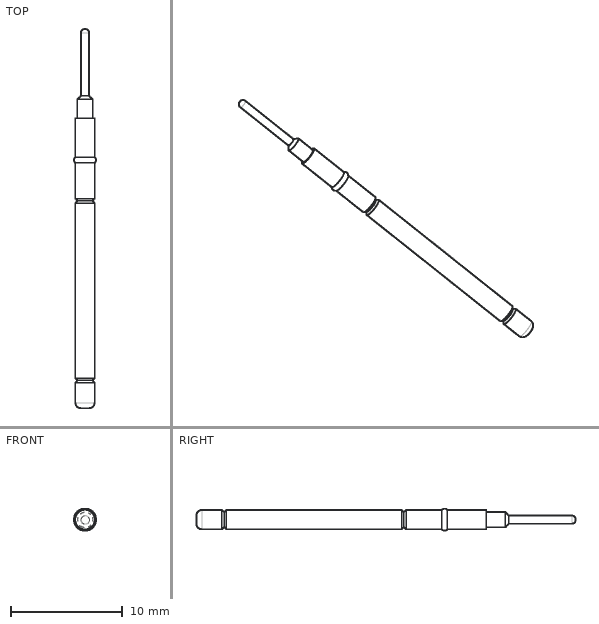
import cadquery as cq


total_length = 34.0
plunger_length = 6.0
cone_length = 0.3
shoulder_distance = 8.0
ring_distance = 11.5
front_groove_distance = 15.4
rear_groove_distance = 31.5

barrel_diameter = 1.75
neck_diameter = 1.4
plunger_diameter = 0.75
ring_diameter = 2.0

tail_radius = 0.5
tip_radius = 0.33
ring_width = 0.5
groove_width = 0.4
groove_depth = 0.2

barrel_radius = barrel_diameter / 2
neck_radius = neck_diameter / 2
plunger_radius = plunger_diameter / 2
ring_bulge = (ring_diameter - barrel_diameter) / 2

cone_start = total_length - plunger_length
neck_start = cone_start - cone_length
shoulder = total_length - shoulder_distance
ring_front = total_length - ring_distance


def revolve_about_y(profile):
    """Turn a closed half profile in the YZ plane a full revolution about Y."""
    return profile.close().revolve(360, (0, 0, 0), (0, 1, 0))


def make_barrel():
    """Plain barrel with a rounded tail."""
    profile = (
        cq.Workplane("ZY")
        .lineTo(barrel_radius - tail_radius, 0)
        .radiusArc((barrel_radius, tail_radius), -tail_radius)
        .lineTo(barrel_radius, shoulder)
        .lineTo(0, shoulder)
    )
    return revolve_about_y(profile)


def make_neck_and_plunger():
    """Stepped front end: neck, cone, plunger and rounded tip."""
    profile = (
        cq.Workplane("ZY")
        .moveTo(0, shoulder)
        .lineTo(neck_radius, shoulder)
        .lineTo(neck_radius, neck_start)
        .lineTo(plunger_radius, cone_start)
        .lineTo(plunger_radius, total_length - tip_radius)
        .radiusArc((plunger_radius - tip_radius, total_length), -tip_radius)
        .lineTo(0, total_length)
    )
    return revolve_about_y(profile)


def make_stop_ring():
    """Bulged ring with an arc-shaped rim around the barrel."""
    ring_rear = ring_front - ring_width
    profile = (
        cq.Workplane("ZY")
        .moveTo(0, ring_rear)
        .lineTo(barrel_radius, ring_rear)
        .threePointArc(
            (barrel_radius + ring_bulge, ring_front - ring_width / 2),
            (barrel_radius, ring_front),
        )
        .lineTo(0, ring_front)
    )
    return revolve_about_y(profile)


def make_groove(distance):
    """V-shaped ring cutter centred at a distance behind the plunger tip."""
    center = total_length - distance
    profile = (
        cq.Workplane("ZY")
        .moveTo(barrel_radius, center - groove_width / 2)
        .lineTo(barrel_radius - groove_depth, center)
        .lineTo(barrel_radius, center + groove_width / 2)
    )
    return revolve_about_y(profile)


result = make_barrel().union(make_neck_and_plunger()).union(make_stop_ring())
for groove_distance in (front_groove_distance, rear_groove_distance):
    result = result.cut(make_groove(groove_distance))